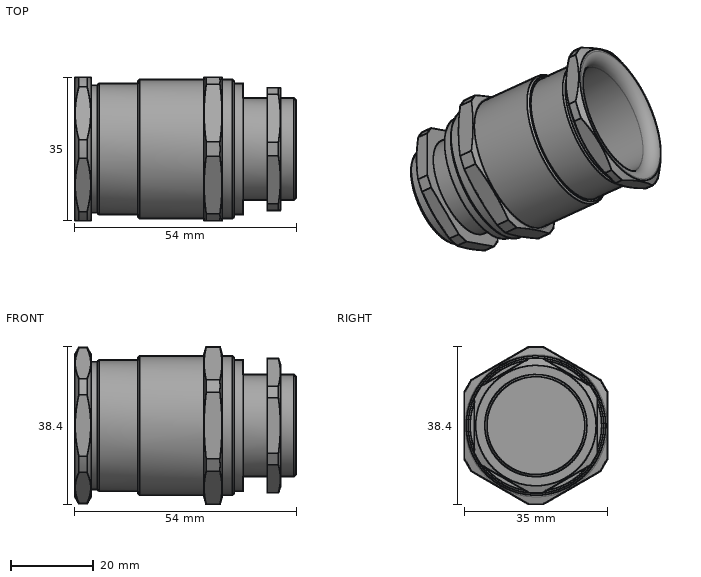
import cadquery as cq
import math

length = 53.95

large_hex_flats = 35.0
small_hex_flats = 30.0

clamp_nut_end = 4.05
clamp_nut_corner_radius = 19.05
clamp_nut_chamfer_depth = 1.8
clamp_nut_chamfer_length = clamp_nut_chamfer_depth * math.tan(math.radians(30))

body_hex_start = 31.5
body_hex_end = 35.95
body_hex_across_corners = 38.4
body_hex_chamfer_depth = 1.95
body_hex_chamfer_length = 0.55

lock_nut_start = 46.9
lock_nut_end = 50.25
lock_nut_across_corners = 32.75
lock_nut_chamfer_depth = 1.8
lock_nut_chamfer_length = 0.6

neck_radius = 15.6
neck_end = 5.5
collar_radius = 16.0
collar_end = 15.4
sleeve_radius = 17.0
sleeve_end = 38.9
sleeve_chamfer = 0.5
flange_radius = collar_radius
flange_end = 41.05
thread_radius = 12.45
thread_chamfer = 0.55

bore_radius = 13.8
bore_depth = 16.45
mouth_rounding = 2.95


def revolve_about_x(points):
    """Turn an (x, radius) outline about the X axis."""
    return cq.Workplane("XY").polyline(points).close().revolve(360, (0, 0, 0), (1, 0, 0))


def hex_prism(start, end, across_flats):
    """Hexagon along X with two corners pointing to +Z and -Z."""
    across_corners = across_flats / math.cos(math.radians(30))
    prism = cq.Workplane("YZ").polygon(6, across_corners).extrude(end - start)
    return prism.rotate((0, 0, 0), (1, 0, 0), 90).translate((start, 0, 0))


def chamfer_envelope(start, end, radius, depth, front_length, back_length):
    """Cylinder whose ends taper in by depth; a zero length leaves that end square."""
    front_radius = radius - depth if front_length else radius
    back_radius = radius - depth if back_length else radius
    points = [(start, 0), (start, front_radius)]
    if front_length:
        points.append((start + front_length, radius))
    if back_length:
        points.append((end - back_length, radius))
    points += [(end, back_radius), (end, 0)]
    return revolve_about_x(points)


def flat_cornered_hex(start, end, across_flats, across_corners):
    """Hexagon whose six corners are cut by flats."""
    corner_cut = hex_prism(start, end, across_corners).rotate((0, 0, 0), (1, 0, 0), 30)
    return hex_prism(start, end, across_flats).intersect(corner_cut)


def cut_corner_radius(across_flats, across_corners):
    """Distance from the axis to the edges where the flats meet the corner cuts."""
    half_flats = across_flats / 2
    half_corners = across_corners / 2
    half_width = (half_flats / math.cos(math.radians(30)) - half_corners) * math.tan(math.radians(60))
    return math.hypot(half_corners, half_width)


def make_clamp_nut():
    envelope = chamfer_envelope(
        0, clamp_nut_end, clamp_nut_corner_radius,
        clamp_nut_chamfer_depth, clamp_nut_chamfer_length, clamp_nut_chamfer_length,
    )
    return hex_prism(0, clamp_nut_end, large_hex_flats).intersect(envelope)


def make_body_hex():
    envelope = chamfer_envelope(
        body_hex_start, body_hex_end, cut_corner_radius(large_hex_flats, body_hex_across_corners),
        body_hex_chamfer_depth, body_hex_chamfer_length, body_hex_chamfer_length,
    )
    blank = flat_cornered_hex(body_hex_start, body_hex_end, large_hex_flats, body_hex_across_corners)
    return blank.intersect(envelope)


def make_lock_nut():
    envelope = chamfer_envelope(
        lock_nut_start, lock_nut_end, cut_corner_radius(small_hex_flats, lock_nut_across_corners),
        lock_nut_chamfer_depth, 0, lock_nut_chamfer_length,
    )
    blank = flat_cornered_hex(lock_nut_start, lock_nut_end, small_hex_flats, lock_nut_across_corners)
    return blank.intersect(envelope)


def make_turned_body():
    collar_start = neck_end + collar_radius - neck_radius
    return revolve_about_x([
        (0, 0),
        (0, neck_radius),
        (neck_end, neck_radius),
        (collar_start, collar_radius),
        (collar_end, collar_radius),
        (collar_end, sleeve_radius - sleeve_chamfer),
        (collar_end + sleeve_chamfer, sleeve_radius),
        (sleeve_end - sleeve_chamfer, sleeve_radius),
        (sleeve_end, sleeve_radius - sleeve_chamfer),
        (sleeve_end, flange_radius),
        (flange_end, flange_radius),
        (flange_end, thread_radius),
        (length - thread_chamfer, thread_radius),
        (length, thread_radius - thread_chamfer),
        (length, 0),
    ])


def make_bore():
    """Blind bore whose mouth flares out along a quarter-circle rounding."""
    arc_offset = mouth_rounding * (1 - math.sqrt(0.5))
    profile = (
        cq.Workplane("XY")
        .lineTo(0, bore_radius + mouth_rounding)
        .threePointArc((arc_offset, bore_radius + arc_offset), (mouth_rounding, bore_radius))
        .lineTo(bore_depth, bore_radius)
        .lineTo(bore_depth, 0)
        .close()
    )
    return profile.revolve(360, (0, 0, 0), (1, 0, 0))


outside = make_turned_body().union(make_clamp_nut()).union(make_body_hex()).union(make_lock_nut())
result = outside.cut(make_bore())